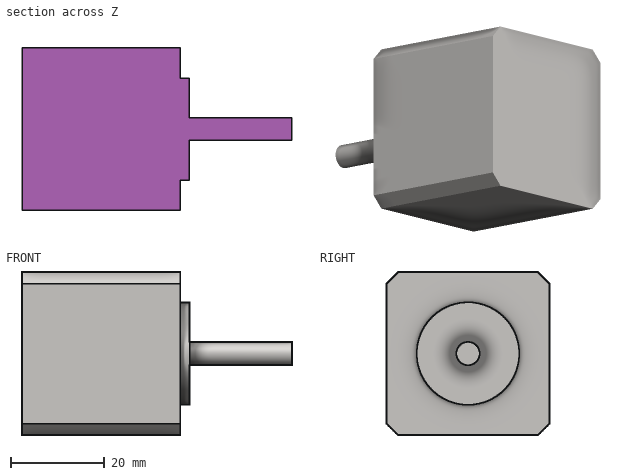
import cadquery as cq

body_length = 34.0
body_width = 35.0
corner_chamfer = 2.5
pilot_diameter = 22.0
pilot_height = 2.0
shaft_diameter = 5.0
shaft_length = 22.0


def make_body():
    """Square motor body behind the mounting face, with its four long edges chamfered."""
    block = cq.Workplane("YZ").rect(body_width, body_width).extrude(-body_length)
    return block.edges("|X").chamfer(corner_chamfer)


def make_cylinder(diameter, length):
    """Cylinder on the motor axis, rising from the mounting face."""
    return cq.Workplane("YZ").circle(diameter / 2).extrude(length)


pilot = make_cylinder(pilot_diameter, pilot_height)
shaft = make_cylinder(shaft_diameter, pilot_height + shaft_length)

result = make_body().union(pilot).union(shaft)